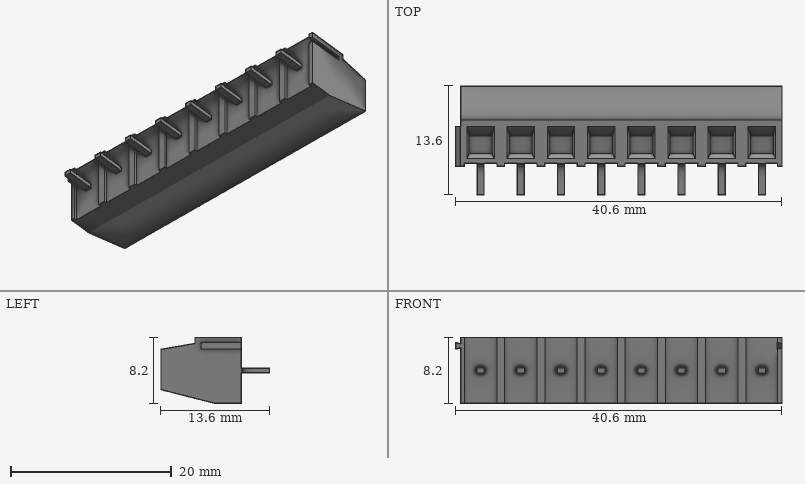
import cadquery as cq


pole_count = 8
housing_length = 40.0
housing_depth = 10.0
housing_height = 8.2
pitch = housing_length / pole_count

ledge_depth = 5.75
ledge_step = 0.75
back_top_drop = 1.45
back_bottom_rise = 1.7
base_depth = 3.3

rib_width = 0.97
end_rib_width = 0.55
rib_depth = 0.35

pocket_width = 3.4
pocket_front = 0.97
pocket_back = 5.0
pocket_floor_depth = 1.0
pocket_side_inset = 0.3
pocket_front_inset = 0.65
pocket_back_inset = 1.2

pin_width = 0.9
pin_thickness = 0.6
pin_length = 3.55

rail_reach = 0.6
rail_top_drop = 0.6
rail_outer_height = 0.85
rail_root_height = 0.53
rail_depth = pocket_back
rail_middle = housing_height - rail_top_drop - rail_outer_height / 2


def pole_middle(pole):
    return (pole + 0.5) * pitch


def box(x, y, z, length, depth, height):
    return cq.Workplane("XY").box(length, depth, height, centered=False).translate((x, y, z))


def make_housing():
    return (
        cq.Workplane("YZ")
        .moveTo(0, 0)
        .lineTo(base_depth, 0)
        .lineTo(housing_depth, back_bottom_rise)
        .lineTo(housing_depth, housing_height - back_top_drop)
        .lineTo(ledge_depth, housing_height - ledge_step)
        .lineTo(ledge_depth, housing_height)
        .lineTo(0, housing_height)
        .close()
        .extrude(housing_length)
    )


def make_front_recess(pole):
    """Shallow recess between two neighbouring ribs."""
    left = pole * pitch + rib_width / 2
    is_last = pole == pole_count - 1
    right_rib = end_rib_width if is_last else rib_width / 2
    right = (pole + 1) * pitch - right_rib
    return box(left, 0, 0, right - left, rib_depth, housing_height)


def make_pocket(pole):
    """Tapered pocket with its back wall leaning furthest."""
    floor_width = pocket_width - 2 * pocket_side_inset
    floor_front = pocket_front + pocket_front_inset
    floor_back = pocket_back - pocket_back_inset
    mouth_middle = (pocket_front + pocket_back) / 2
    floor_shift = (floor_front + floor_back) / 2 - mouth_middle
    return (
        cq.Workplane("XY", origin=(pole_middle(pole), mouth_middle, housing_height))
        .rect(pocket_width, pocket_back - pocket_front)
        .workplane(offset=-pocket_floor_depth)
        .center(0, floor_shift)
        .rect(floor_width, floor_back - floor_front)
        .loft(ruled=True)
    )


def make_pin(pole):
    return box(
        pole_middle(pole) - pin_width / 2,
        -pin_length,
        (housing_height - pin_thickness) / 2,
        pin_width,
        pin_length + rib_depth,
        pin_thickness,
    )


def make_dovetail(root_x):
    """Dovetail bar along Y, widening towards -X from its root."""
    return (
        cq.Workplane("XZ")
        .moveTo(root_x, rail_middle - rail_root_height / 2)
        .lineTo(root_x, rail_middle + rail_root_height / 2)
        .lineTo(root_x - rail_reach, rail_middle + rail_outer_height / 2)
        .lineTo(root_x - rail_reach, rail_middle - rail_outer_height / 2)
        .close()
        .extrude(-rail_depth)
    )


result = make_housing()
for pole in range(pole_count):
    result = result.cut(make_front_recess(pole))
    result = result.cut(make_pocket(pole))
    result = result.union(make_pin(pole))

result = result.union(make_dovetail(0))
result = result.cut(make_dovetail(housing_length))